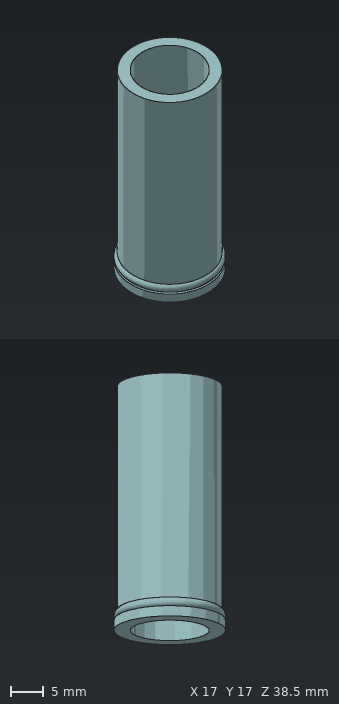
import cadquery as cq

length = 38.5
bore_diameter = 12.0
tube_diameter = 16.0
flange_diameter = 17.0
flange_height = 1.6
bead_height = 1.5

bore_radius = bore_diameter / 2
tube_radius = tube_diameter / 2
flange_radius = flange_diameter / 2
bead_top = flange_height + bead_height
bead_middle = flange_height + bead_height / 2

half_section = (
    cq.Workplane("XZ")
    .moveTo(bore_radius, 0)
    .lineTo(flange_radius, 0)
    .lineTo(flange_radius, flange_height)
    .lineTo(tube_radius, flange_height)
    .threePointArc((flange_radius, bead_middle), (tube_radius, bead_top))
    .lineTo(tube_radius, length)
    .lineTo(bore_radius, length)
    .close()
)

result = half_section.revolve(360, (0, 0, 0), (0, 1, 0))